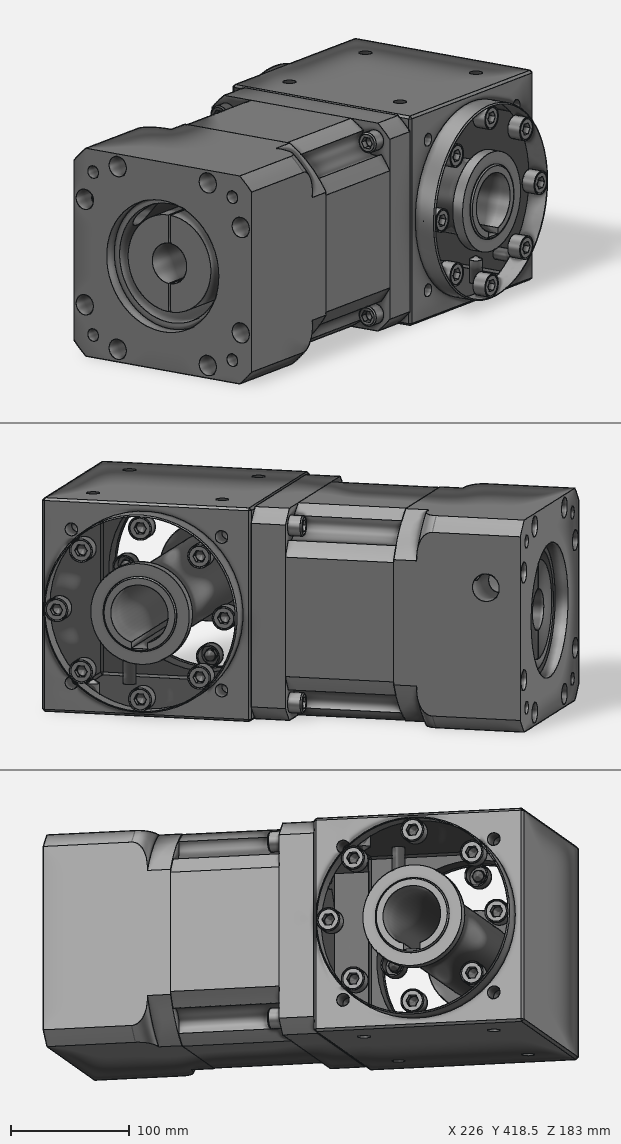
import cadquery as cq
import math


overall_length = 418.5
cube_side = 183.0
cube_chamfer = 2.0
flange_radius = 84.5
flange_face_x = 111.5
flange_chamfer = 1.3
mount_hole_radius = 5.5
mount_hole_depth = 20.0
top_hole_offset = 56.5
side_hole_offset = 65.5
flange_screw_circle = 73.2
flange_screw_angles = range(0, 360, 45)

shaft_length = 226.0
shaft_radius = 32.2
shaft_chamfer = 1.3
shaft_bore_radius = 25.0
collar_radius = 43.0
collar_width = 10.0
keyway_width = 14.2
keyway_floor = 29.5

cube_front_y = -cube_side / 2
motor_face_y = cube_side / 2 - overall_length
plate_thickness = 30.0
ring_gear_length = 94.5
plate_front_y = cube_front_y - plate_thickness
stage_front_y = plate_front_y - ring_gear_length
adapter_length = stage_front_y - motor_face_y

square_side = 181.5
corner_radius = 120.0

plate_screw_offset = 75.7

ring_gear_radius = 104.0
scallop_radius = 13.5

hub_radius = 42.3
hub_bore_radius = 17.5
hub_slit_width = 2.0
hub_face_depth = 10.0

neck_radius = 105.5
neck_length = 20.0
shoulder_fillet = 14.0
pilot_radius = 57.5
pilot_depth = 11.5
adapter_bore_radius = 52.0
motor_hole_offset = 71.0
adapter_screw_circle = 92.0
adapter_screw_angles = (30, 60, 120, 150, 210, 240, 300, 330)
adapter_counterbore_depth = 92.0
access_hole_radius = 11.7
access_hole_setback = 30.0
access_hole_height = 33.5

large_screw = {"radius": 8.8, "height": 12.0, "socket": 11.0, "tip": True, "counterbore": 10.0}
small_screw = {"radius": 8.0, "height": 10.0, "socket": 9.0, "tip": False, "counterbore": 8.8}
head_chamfer = 1.3
socket_depth_ratio = 0.5
drill_half_angle = 59


def front_plane(y):
    """Plane at position y, facing -Y, with its x axis along +X and its y axis along +Z."""
    return cq.Plane(origin=(0, y, 0), xDir=(1, 0, 0), normal=(0, -1, 0))


def side_plane(sign):
    """Plane on the flange face at the -X or +X end, facing outward."""
    return cq.Plane(origin=(sign * flange_face_x, 0, 0), xDir=(0, 1, 0), normal=(sign, 0, 0))


def square_points(offset):
    return [(x, y) for x in (-offset, offset) for y in (-offset, offset)]


def circle_points(radius, angles):
    return [(radius * math.cos(math.radians(a)), radius * math.sin(math.radians(a))) for a in angles]


def cylinders(plane, points, radius, length):
    """Cylinders standing on a plane; a negative length goes below it."""
    return cq.Workplane(plane).pushPoints(points).circle(radius).extrude(length)


def drill_tips(plane, points, radius):
    """Conical hole ends that go below a plane."""
    height = radius / math.tan(math.radians(drill_half_angle))
    cone = cq.Solid.makeCone(radius, 0, height, cq.Vector(0, 0, 0), cq.Vector(0, 0, -1))
    places = cq.Workplane(plane).pushPoints(points)
    return places.eachpoint(lambda place: cone.moved(place), useLocalCoordinates=True)


def drilled_holes(plane, points, depth):
    """Tapped holes below a plane, each ending in a drill tip."""
    floor = cq.Workplane(plane).workplane(offset=-depth).plane
    holes = cylinders(plane, points, mount_hole_radius, -depth)
    return holes.union(drill_tips(floor, points, mount_hole_radius))


def screw_sockets(plane, points, screw):
    """Hexagon sockets below the top of a screw head, with drill tips where the screw has them."""
    depth = screw["height"] * socket_depth_ratio
    top = cq.Workplane(plane).workplane(offset=screw["height"])
    sockets = top.pushPoints(points).polygon(6, screw["socket"]).extrude(-depth)
    if not screw["tip"]:
        return sockets
    inscribed_radius = screw["socket"] / 2 * math.cos(math.pi / 6)
    return sockets.union(drill_tips(top.workplane(offset=-depth).plane, points, inscribed_radius))


def screw_heads(plane, points, screw):
    """Cap-screw heads standing on a plane, each with a hexagon socket."""
    heads = cylinders(plane, points, screw["radius"], screw["height"])
    return heads.cut(screw_sockets(plane, points, screw))


def sunk_screws(body, plane, points, screw, depth):
    """Counterbores of a given depth below a plane, with a fixed screw head on each floor."""
    body = body.cut(cylinders(plane, points, screw["counterbore"], -depth))
    floor = cq.Workplane(plane).workplane(offset=-depth).plane
    return body.union(screw_heads(floor, points, screw))


def rounded_square(y, radius, length):
    """Square block with its corners turned to a radius, running towards the motor from position y."""
    square = cq.Workplane(front_plane(y)).rect(square_side, square_side).extrude(length)
    return square.intersect(cylinders(front_plane(y), [(0, 0)], radius, length))


def make_shaft_blank():
    """Solid outside shape of the output shaft, also used as its seat in the housing."""
    blank = cq.Workplane("YZ").circle(shaft_radius).extrude(shaft_length / 2, both=True)
    blank = blank.faces("<X or >X").chamfer(shaft_chamfer)
    for sign in (-1, 1):
        blank = blank.union(cylinders(side_plane(sign), [(0, 0)], collar_radius, -collar_width))
    return blank


def make_input_plate():
    """Plate on the housing's input side, with the four cap screws that stand on it."""
    plate = rounded_square(cube_front_y, corner_radius, plate_thickness)
    plate_face = front_plane(plate_front_y)
    screw_points = square_points(plate_screw_offset)
    heads = cylinders(plate_face, screw_points, large_screw["radius"], large_screw["height"])
    heads = heads.faces("<Y").chamfer(head_chamfer)
    return plate.union(heads.cut(screw_sockets(plate_face, screw_points, large_screw)))


def make_housing():
    housing = cq.Workplane("XY").box(cube_side, cube_side, cube_side).edges().chamfer(cube_chamfer)

    flanges = cq.Workplane("YZ").circle(flange_radius).extrude(flange_face_x, both=True)
    housing = housing.union(flanges.faces("<X or >X").chamfer(flange_chamfer))

    housing = housing.union(make_input_plate())

    for sign in (-1, 1):
        face = cq.Plane(origin=(0, 0, sign * cube_side / 2), xDir=(1, 0, 0), normal=(0, 0, sign))
        holes = drilled_holes(face, square_points(top_hole_offset), mount_hole_depth)
        housing = housing.cut(holes)

    for sign in (-1, 1):
        flange_face = side_plane(sign)
        screw_points = circle_points(flange_screw_circle, flange_screw_angles)
        housing = sunk_screws(housing, flange_face, screw_points, large_screw, large_screw["height"])
        corner_depth = flange_face_x - cube_side / 2 + mount_hole_depth
        holes = drilled_holes(flange_face, square_points(side_hole_offset), corner_depth)
        housing = housing.cut(holes)

    return housing.cut(make_shaft_blank())


def make_output_shaft():
    bore = cq.Workplane("YZ").circle(shaft_bore_radius).extrude(shaft_length, both=True)
    keyway = cq.Workplane("XY").box(shaft_length, keyway_width, keyway_floor, centered=(True, True, False))
    return make_shaft_blank().cut(bore).cut(keyway.translate((0, 0, -keyway_floor)))


def make_clamping_hub():
    hub_length = adapter_length - hub_face_depth
    base = cq.Workplane(front_plane(stage_front_y))
    hub = base.circle(hub_radius).circle(hub_bore_radius).extrude(hub_length)
    slit = base.rect(hub_slit_width, 2 * hub_radius).extrude(hub_length)
    return hub.cut(slit)


def make_gear_stage():
    """Ring gear: a square turned down and scalloped to clear the plate's screws, plus its clamping hub."""
    plate_face = front_plane(plate_front_y)
    stage = rounded_square(plate_front_y, ring_gear_radius, ring_gear_length)
    scallops = cylinders(plate_face, square_points(plate_screw_offset), scallop_radius, ring_gear_length)
    return stage.cut(scallops).union(make_clamping_hub())


def make_adapter_envelope():
    """Turned outline of the adapter: a neck, then a rounded shoulder up to the corner radius."""
    shoulder_y = stage_front_y - neck_length
    mid = shoulder_fillet * (1 - math.sqrt(0.5))
    return (
        cq.Workplane("XY")
        .moveTo(0, stage_front_y)
        .lineTo(neck_radius, stage_front_y)
        .lineTo(neck_radius, shoulder_y)
        .lineTo(corner_radius - shoulder_fillet, shoulder_y)
        .threePointArc((corner_radius - mid, shoulder_y - mid), (corner_radius, shoulder_y - shoulder_fillet))
        .lineTo(corner_radius, motor_face_y)
        .lineTo(0, motor_face_y)
        .close()
        .revolve(360, (0, 0, 0), (0, 1, 0))
    )


def make_motor_adapter():
    square = cq.Workplane(front_plane(stage_front_y)).rect(square_side, square_side).extrude(adapter_length)
    adapter = square.intersect(make_adapter_envelope())
    motor_face = front_plane(motor_face_y)

    adapter = adapter.cut(cylinders(motor_face, [(0, 0)], pilot_radius, -pilot_depth))
    adapter = adapter.cut(cylinders(motor_face, [(0, 0)], adapter_bore_radius, -adapter_length))

    motor_holes = drilled_holes(motor_face, square_points(motor_hole_offset), mount_hole_depth)
    screw_points = circle_points(adapter_screw_circle, adapter_screw_angles)
    adapter = adapter.cut(motor_holes)
    adapter = sunk_screws(adapter, motor_face, screw_points, small_screw, adapter_counterbore_depth)

    access_hole = (
        cq.Workplane("YZ", origin=(-square_side / 2, 0, 0))
        .center(motor_face_y + access_hole_setback, access_hole_height)
        .circle(access_hole_radius)
        .extrude(square_side / 2)
    )
    return adapter.cut(access_hole)


housing = make_housing()
output_shaft = make_output_shaft()
gear_stage = make_gear_stage()
motor_adapter = make_motor_adapter()

result = cq.Compound.makeCompound(
    [housing.val(), output_shaft.val(), gear_stage.val(), motor_adapter.val()]
)